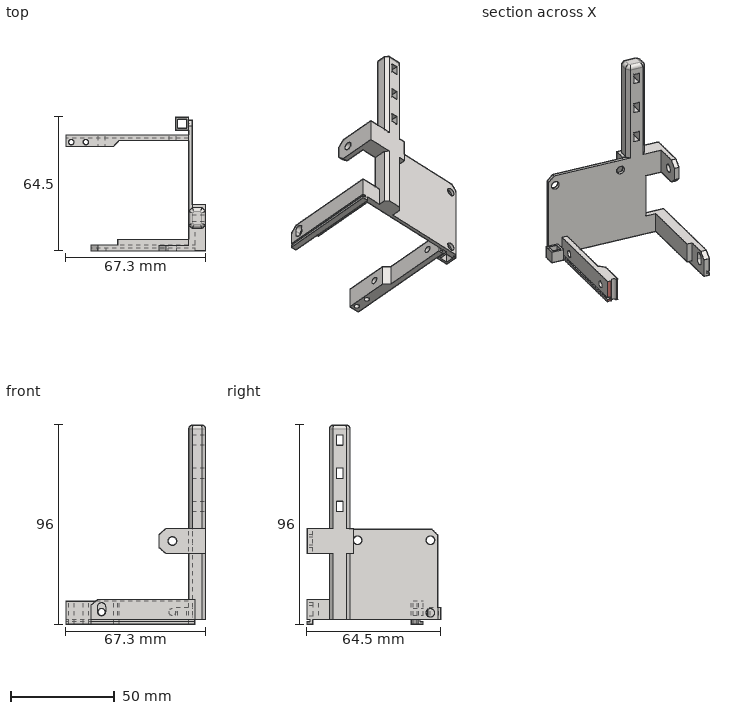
import cadquery as cq

LENGTH, WIDTH, HEIGHT = 67.3, 64.5, 96

PLATE_X = 59.1
PLATE_THICKNESS = 1.7
PLATE_BOTTOM = 2.3
PLATE_TOP = 45.9
PLATE_BACK = 63.1
PLATE_CHAMFER = 2.9
BOLT_DIA = 4.0
REAR_BOLT_Y = 59.5
FRONT_BOLT_Y = 24.5
UPPER_BOLT_Z = 40.5
LOWER_BOLT_Z = 5.6

POST_FRONT = 10.85
POST_DEPTH = 10.1
POST_CHAMFER = 1.7
POST_TOP_FILLET = 1.9
WINDOW_WIDTH, WINDOW_HEIGHT = 3.1, 4.9
WINDOW_PITCH = 15.9
WINDOW_COUNT = 3
TOP_WINDOW_Z = 88.7

TAB_X = 44.7
TAB_FRONT = 0.2
TAB_BACK = 2.7
TAB_BOTTOM, TAB_TOP = 34.1, 46.2
TAB_BLOCK_BACK = 22.6
CORNER_LENGTH, CORNER_DROP = 3.4, 3.0
TAB_HOLE_X = 51.3

RAIL_X = 12.0
RAIL_END = 62.1
RAIL_THICKNESS = 3.0
RAIL_TOP = 12.1
STRIP_X = 25
STRIP_BACK = 5.7
SLOT_X = 17.2
SLOT_BOTTOM, SLOT_TOP = 4.1, 10.5
GROOVE_DEPTH = 1.4
GROOVE_HEIGHT = 1

ARM_FRONT, ARM_BACK = 50.3, 56.0
ARM_THIN_FRONT = 53.2
ARM_TOP = 11.2
ARM_TAPER_START = 22.85
ARM_TAPER_END = 25.6
ARM_HOLE_DIA = 3.4
ARM_HOLE_Z = 6.0
PIN_DIA = 2.5
PIN_Y = 52.5
PIN_XS = (2.6, 9.6)

TUBE_SIZE = 6.3
TUBE_WALL = 1.1
TUBE_TOP = 8.2


def block(x0, x1, y0, y1, z0, z1):
    """Box between two opposite corners."""
    return cq.Workplane("XY").box(x1 - x0, y1 - y0, z1 - z0, centered=False).translate((x0, y0, z0))


def hole_along_x(y, z):
    """Bolt cutter through the plate."""
    return cq.Workplane("YZ").center(y, z).circle(BOLT_DIA / 2).extrude(LENGTH)


def hole_along_y(x, z, diameter, y0, y1):
    """Cutter running along Y from y0 to y1."""
    return cq.Workplane("XZ", origin=(x, y0, z)).circle(diameter / 2).extrude(y0 - y1)


def lengthwise_groove(y0, y1):
    """Cutter for the groove just under the level of the plate's lower edge."""
    return block(0, RAIL_END, y0, y1, PLATE_BOTTOM - GROOVE_HEIGHT, PLATE_BOTTOM)


def make_plate():
    plate = block(PLATE_X, PLATE_X + PLATE_THICKNESS, POST_FRONT, PLATE_BACK, PLATE_BOTTOM, PLATE_TOP)
    return plate.edges(">Y and >Z").chamfer(PLATE_CHAMFER)


def make_post():
    post = block(PLATE_X, LENGTH, POST_FRONT, POST_FRONT + POST_DEPTH, PLATE_BOTTOM, HEIGHT)
    post = post.edges("|Z").chamfer(POST_CHAMFER).faces(">Z").edges().fillet(POST_TOP_FILLET)
    middle_y = POST_FRONT + POST_DEPTH / 2
    for i in range(WINDOW_COUNT):
        z = TOP_WINDOW_Z - i * WINDOW_PITCH
        window = cq.Workplane("YZ").center(middle_y, z).rect(WINDOW_WIDTH, WINDOW_HEIGHT).extrude(LENGTH)
        post = post.cut(window)
    return post


def make_tab():
    outline = [
        (LENGTH, TAB_BOTTOM),
        (LENGTH, TAB_TOP),
        (TAB_X + CORNER_LENGTH, TAB_TOP),
        (TAB_X, TAB_TOP - CORNER_DROP),
        (TAB_X, TAB_BOTTOM + CORNER_DROP),
        (TAB_X + CORNER_LENGTH, TAB_BOTTOM),
    ]
    tab = cq.Workplane("XZ", origin=(0, TAB_FRONT, 0)).polyline(outline).close().extrude(TAB_FRONT - TAB_BACK)
    hole_z = (TAB_BOTTOM + TAB_TOP) / 2
    tab = tab.cut(hole_along_y(TAB_HOLE_X, hole_z, BOLT_DIA, TAB_FRONT, TAB_BACK))
    front_block = block(PLATE_X, LENGTH, TAB_FRONT, POST_FRONT + POST_CHAMFER, TAB_BOTTOM, TAB_TOP)
    back_block = block(PLATE_X + PLATE_THICKNESS, LENGTH, TAB_FRONT, TAB_BLOCK_BACK, TAB_BOTTOM, TAB_TOP)
    return tab.union(front_block).union(back_block)


def make_rail():
    outline = [
        (RAIL_X, 0),
        (RAIL_END, 0),
        (RAIL_END, RAIL_TOP),
        (RAIL_X + CORNER_LENGTH, RAIL_TOP),
        (RAIL_X, RAIL_TOP - CORNER_DROP),
    ]
    rail = cq.Workplane("XZ").polyline(outline).close().extrude(-RAIL_THICKNESS)
    slot_z = (SLOT_BOTTOM + SLOT_TOP) / 2
    slot = cq.Workplane("XZ").center(SLOT_X, slot_z).slot2D(SLOT_TOP - SLOT_BOTTOM, BOLT_DIA, 90)
    rail = rail.cut(slot.extrude(-RAIL_THICKNESS)).cut(lengthwise_groove(0, GROOVE_DEPTH))
    strip = block(STRIP_X, RAIL_END, RAIL_THICKNESS, STRIP_BACK, PLATE_BOTTOM, RAIL_TOP)
    foot = block(PLATE_X, RAIL_END, RAIL_THICKNESS, POST_FRONT, PLATE_BOTTOM, RAIL_TOP)
    return rail.union(strip).union(foot)


def make_arm():
    outline = [
        (0, ARM_FRONT),
        (ARM_TAPER_START, ARM_FRONT),
        (ARM_TAPER_END, ARM_THIN_FRONT),
        (PLATE_X, ARM_THIN_FRONT),
        (PLATE_X, ARM_BACK),
        (0, ARM_BACK),
    ]
    arm = cq.Workplane("XY").polyline(outline).close().extrude(ARM_TOP)
    for x in (SLOT_X, TAB_HOLE_X):
        arm = arm.cut(hole_along_y(x, ARM_HOLE_Z, ARM_HOLE_DIA, ARM_FRONT, ARM_BACK))
    for x in PIN_XS:
        arm = arm.cut(cq.Workplane("XY").center(x, PIN_Y).circle(PIN_DIA / 2).extrude(ARM_TOP))
    return arm.cut(lengthwise_groove(ARM_BACK - GROOVE_DEPTH, ARM_BACK))


def make_tube():
    x0 = PLATE_X - TUBE_SIZE
    y0 = WIDTH - TUBE_SIZE
    outer = block(x0, PLATE_X, y0, WIDTH, PLATE_BOTTOM, TUBE_TOP)
    bore = block(
        x0 + TUBE_WALL, PLATE_X - TUBE_WALL, y0 + TUBE_WALL, WIDTH - TUBE_WALL, PLATE_BOTTOM, TUBE_TOP
    )
    return outer.cut(bore)


plate = make_plate()
for bolt_y, bolt_z in (
    (REAR_BOLT_Y, UPPER_BOLT_Z),
    (FRONT_BOLT_Y, UPPER_BOLT_Z),
    (REAR_BOLT_Y, LOWER_BOLT_Z),
):
    plate = plate.cut(hole_along_x(bolt_y, bolt_z))

result = plate.union(make_post()).union(make_tab()).union(make_rail()).union(make_arm()).union(make_tube())